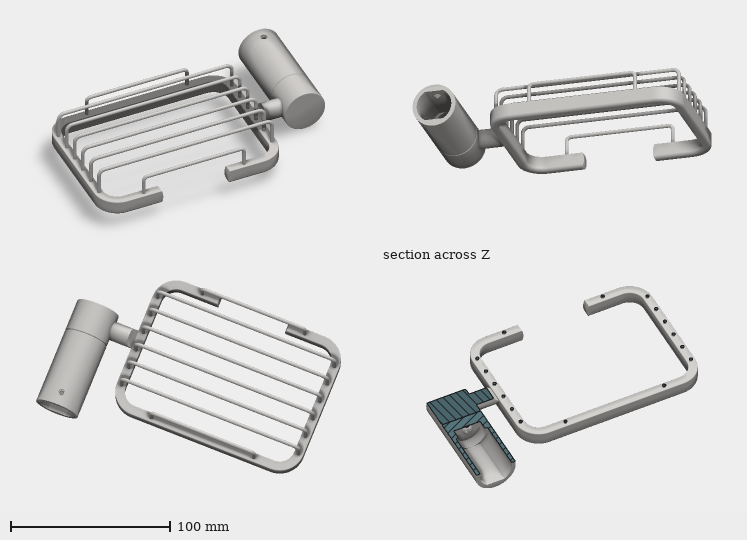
import cadquery as cq
import math


barrel_radius = 14.0
sleeve_length = 49.0
barrel_length = 70.0
edge_break = 0.5

bore_radius = 11.3
bore_flat_offset = 9.6
bore_depth = 33.8
inner_bore_depth = 40.5

screw_head_radius = 3.4
screw_head_height = 2.0
screw_shank_radius = 2.0
screw_thread_in_cap = 6.8
cross_length = 3.9
cross_width = 0.7
cross_depth = 1.4

set_screw_x = 8.0
set_screw_radius = 2.2
set_screw_top = 12.8
set_screw_shoulder_drop = 0.3
set_screw_cone_height = 1.7
hex_socket_flats = 2.9
hex_socket_depth = 1.7

overall_length = 169.0
frame_width = 92.1
frame_length = 126.0
frame_right = 105.8
frame_front = barrel_radius - overall_length
frame_band = 6.0
frame_height = 10.0
frame_top = 1.5
frame_corner_radius = 15.9
frame_bottom_fillet = 2.0
frame_gap = 47.0
gap_end_bulge = 1.0

frame_center_x = frame_right - frame_width / 2
frame_center_y = frame_front + frame_length / 2
frame_back = frame_front + frame_length
frame_bottom = frame_top - frame_height

arm_radius = 6.0
arm_root_depth = 1.7
arm_scoop_radius = 6.3
arm_scoop_setback = 2.4

overall_height = 33.8
wire_radius = 1.2
wire_root_depth = 1.7
long_wire_count = 6
long_wire_pitch = 12.2
long_wire_bend = 4.0
long_wire_top = overall_height - barrel_radius
long_wire_span = 119.7
short_wire_bend = 2.9
short_wire_top = 15.4
short_wire_span = 69.3


def x_cylinder(radius, start, end):
    """Cylinder on the barrel axis between two X positions."""
    return cq.Workplane("YZ").workplane(offset=start).circle(radius).extrude(end - start)


def make_screw_blank():
    """Screw without its cross recess: shank and domed head facing -X."""
    head_top = inner_bore_depth - screw_head_height
    shank_end = sleeve_length + screw_thread_in_cap
    dome_x = inner_bore_depth - screw_head_height * math.sqrt(0.5)
    dome_r = screw_head_radius * math.sqrt(0.5)
    return (
        cq.Workplane("XY")
        .moveTo(head_top, 0)
        .threePointArc((dome_x, dome_r), (inner_bore_depth, screw_head_radius))
        .lineTo(inner_bore_depth, screw_shank_radius)
        .lineTo(shank_end, screw_shank_radius)
        .lineTo(shank_end, 0)
        .close()
        .revolve(360, (0, 0, 0), (1, 0, 0))
    )


def make_screw():
    head_top = inner_bore_depth - screw_head_height
    cross = (
        cq.Workplane("YZ")
        .workplane(offset=head_top)
        .rect(cross_length, cross_width)
        .extrude(cross_depth)
        .union(
            cq.Workplane("YZ")
            .workplane(offset=head_top)
            .rect(cross_width, cross_length)
            .extrude(cross_depth)
        )
    )
    return make_screw_blank().cut(cross)


def make_set_screw_blank():
    """Set screw without its socket: a cylinder with a cone tip inside the bore."""
    shoulder_z = bore_flat_offset - set_screw_shoulder_drop
    return (
        cq.Workplane("XZ", origin=(set_screw_x, 0, 0))
        .moveTo(0, set_screw_top)
        .lineTo(set_screw_radius, set_screw_top)
        .lineTo(set_screw_radius, shoulder_z)
        .lineTo(0, shoulder_z - set_screw_cone_height)
        .close()
        .revolve(360, (0, 0, 0), (0, 1, 0))
    )


def make_set_screw():
    socket = (
        cq.Workplane("XY", origin=(set_screw_x, 0, set_screw_top))
        .polygon(6, hex_socket_flats, circumscribed=True)
        .extrude(-hex_socket_depth)
    )
    return make_set_screw_blank().cut(socket)


def make_sleeve():
    """Sleeve with a flatted bore, a floor for the screw and a set screw hole."""
    body = x_cylinder(barrel_radius, 0, sleeve_length).faces(">X").edges().chamfer(edge_break)
    flats = cq.Workplane("XY").box(
        bore_depth, 2 * bore_radius, 2 * bore_flat_offset, centered=(False, True, True)
    )
    bore = x_cylinder(bore_radius, 0, bore_depth).intersect(flats)
    inner_bore = x_cylinder(bore_flat_offset, bore_depth, inner_bore_depth)
    set_screw_hole = (
        cq.Workplane("XY", origin=(set_screw_x, 0, 0)).circle(set_screw_radius).extrude(barrel_radius)
    )
    return body.cut(bore).cut(inner_bore).cut(set_screw_hole).cut(make_screw_blank())


def make_cap():
    """End of the barrel, with a screw hole on its axis."""
    return (
        x_cylinder(barrel_radius, sleeve_length, barrel_length)
        .faces("<X").edges().chamfer(edge_break)
        .faces(">X").edges().fillet(edge_break)
        .cut(make_screw_blank())
    )


def make_arm():
    """Round arm from the barrel to the frame, scooped down to the frame top at its end."""
    arm_start = -math.sqrt(barrel_radius**2 - arm_radius**2) + arm_root_depth
    arm_end = frame_back - edge_break
    arm = (
        cq.Workplane("XZ", origin=(frame_center_x, arm_start, 0))
        .circle(arm_radius)
        .extrude(arm_start - arm_end)
    )
    scoop = (
        cq.Workplane("YZ", origin=(frame_center_x, frame_back - arm_scoop_setback, arm_radius))
        .circle(arm_scoop_radius)
        .extrude(arm_radius, both=True)
    )
    return arm.cut(scoop)


def rounded_block(width, length, corner_radius):
    """Block as tall as the frame, on its center, with rounded vertical edges."""
    return (
        cq.Workplane("XY", origin=(frame_center_x, frame_center_y, frame_bottom))
        .rect(width, length)
        .extrude(frame_height)
        .edges("|Z")
        .fillet(corner_radius)
    )


def make_frame():
    """Rounded rectangular band, open in the middle of its +X side."""
    outer = rounded_block(frame_width, frame_length, frame_corner_radius)
    inner = rounded_block(
        frame_width - 2 * frame_band,
        frame_length - 2 * frame_band,
        frame_corner_radius - frame_band,
    )
    ring = outer.cut(inner)
    ring = ring.faces("<Z").edges().fillet(frame_bottom_fillet)
    ring = ring.faces(">Z").edges().fillet(edge_break)

    half_gap = frame_gap / 2
    middle = frame_bottom + frame_height / 2
    opening = (
        cq.Workplane("YZ", origin=(frame_right - 2 * frame_band, frame_center_y, 0))
        .moveTo(-half_gap, frame_bottom)
        .threePointArc((gap_end_bulge - half_gap, middle), (-half_gap, frame_top))
        .lineTo(half_gap, frame_top)
        .threePointArc((half_gap - gap_end_bulge, middle), (half_gap, frame_bottom))
        .close()
        .extrude(2 * frame_band)
    )
    return ring.cut(opening)


def make_wire(x, span, top, bend):
    """Bent wire over the frame: two legs and a bar along Y. top is the highest point."""
    bar_z = top - wire_radius
    foot_z = frame_top - wire_root_depth
    back_y = frame_center_y + span / 2
    front_y = frame_center_y - span / 2
    inset = bend * (1 - math.sqrt(0.5))
    path = (
        cq.Workplane("YZ", origin=(x, 0, 0))
        .moveTo(back_y, foot_z)
        .lineTo(back_y, bar_z - bend)
        .threePointArc((back_y - inset, bar_z - inset), (back_y - bend, bar_z))
        .lineTo(front_y + bend, bar_z)
        .threePointArc((front_y + inset, bar_z - inset), (front_y, bar_z - bend))
        .lineTo(front_y, foot_z)
    )
    return cq.Workplane("XY", origin=(x, back_y, foot_z)).circle(wire_radius).sweep(path)


def make_rack():
    """Cap, arm, frame and wires joined as one welded body."""
    rack = make_cap().union(make_arm()).union(make_frame())
    for index in range(long_wire_count):
        x = frame_center_x + (index - (long_wire_count - 1) / 2) * long_wire_pitch
        rack = rack.union(make_wire(x, long_wire_span, long_wire_top, long_wire_bend))
    side_offset = (frame_width - frame_band) / 2
    for side in (-1, 1):
        x = frame_center_x + side * side_offset
        rack = rack.union(make_wire(x, short_wire_span, short_wire_top, short_wire_bend))
    return rack


sleeve = make_sleeve()
rack = make_rack()
screw = make_screw()
set_screw = make_set_screw()

result = cq.Compound.makeCompound([sleeve.val(), rack.val(), screw.val(), set_screw.val()])